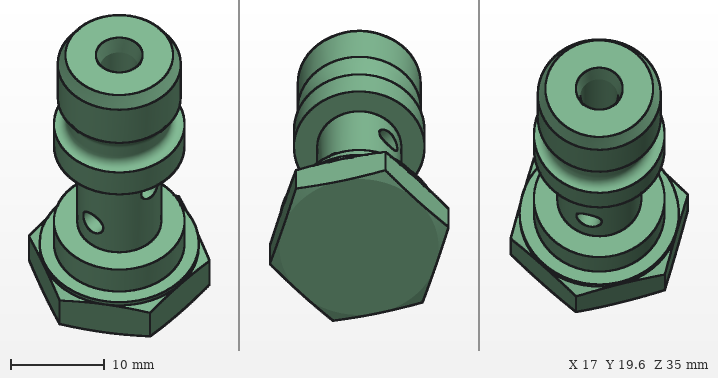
import cadquery as cq
import math

total_height = 35.0
head_height = 5.0
lower_collar_top = 8.5
upper_collar_bottom = 20.5
upper_collar_top = 24.0
thread_bottom = 28.28

across_flats = 17.0
collar_diameter = 13.95
shank_diameter = 9.0
thread_diameter = 13.15
relief_diameter = 11.2

washer_height = 0.52
head_chamfer_angle = math.radians(15)

thread_chamfer_height = 1.45
thread_chamfer_angle = math.radians(30)
relief_fillet_radius = 1.0

bore_diameter = 4.0
bore_bottom = 10.5
drill_point_angle = math.radians(118)
countersink_diameter = 5.0
countersink_depth = 1.85
cross_hole_diameter = 2.8
lower_cross_hole_z = 12.0
upper_cross_hole_z = 17.0


def make_head():
    """Hexagon with points on Y, chamfered at both ends, below a round washer face."""
    corner_diameter = across_flats / math.cos(math.radians(30))
    flat_radius = across_flats / 2
    corner_radius = corner_diameter / 2
    chamfer_height = (corner_radius - flat_radius) * math.tan(head_chamfer_angle)
    hexagon_top = head_height - washer_height

    hexagon = (
        cq.Workplane("XY")
        .polygon(6, corner_diameter)
        .extrude(head_height)
        .rotate((0, 0, 0), (0, 0, 1), 30)
    )
    envelope = (
        cq.Workplane("XZ")
        .lineTo(flat_radius, 0)
        .lineTo(corner_radius, chamfer_height)
        .lineTo(corner_radius, hexagon_top - chamfer_height)
        .lineTo(flat_radius, hexagon_top)
        .lineTo(flat_radius, head_height)
        .lineTo(0, head_height)
        .close()
        .revolve(360, (0, 0, 0), (0, 1, 0))
    )
    return hexagon.intersect(envelope)


def make_body():
    """Collars, shank, relief groove and thread blank turned as one profile."""
    collar_radius = collar_diameter / 2
    shank_radius = shank_diameter / 2
    thread_radius = thread_diameter / 2
    relief_radius = relief_diameter / 2
    tip_radius = thread_radius - thread_chamfer_height * math.tan(thread_chamfer_angle)

    fillet_center = relief_radius + relief_fillet_radius
    relief_bottom = upper_collar_top + relief_fillet_radius
    lower_middle = (
        fillet_center - relief_fillet_radius * math.cos(math.radians(45)),
        relief_bottom - relief_fillet_radius * math.sin(math.radians(45)),
    )

    upper_end = fillet_center - relief_fillet_radius * math.cos(thread_chamfer_angle)
    cone_bottom = thread_bottom - (thread_radius - upper_end) / math.tan(thread_chamfer_angle)
    relief_top = cone_bottom - relief_fillet_radius * math.sin(thread_chamfer_angle)
    upper_middle = (
        fillet_center - relief_fillet_radius * math.cos(thread_chamfer_angle / 2),
        relief_top + relief_fillet_radius * math.sin(thread_chamfer_angle / 2),
    )

    return (
        cq.Workplane("XZ")
        .lineTo(collar_radius, 0)
        .lineTo(collar_radius, lower_collar_top)
        .lineTo(shank_radius, lower_collar_top)
        .lineTo(shank_radius, upper_collar_bottom)
        .lineTo(collar_radius, upper_collar_bottom)
        .lineTo(collar_radius, upper_collar_top)
        .lineTo(fillet_center, upper_collar_top)
        .threePointArc(lower_middle, (relief_radius, relief_bottom))
        .lineTo(relief_radius, relief_top)
        .threePointArc(upper_middle, (upper_end, cone_bottom))
        .lineTo(thread_radius, thread_bottom)
        .lineTo(thread_radius, total_height - thread_chamfer_height)
        .lineTo(tip_radius, total_height)
        .lineTo(0, total_height)
        .close()
        .revolve(360, (0, 0, 0), (0, 1, 0))
    )


def make_bore():
    """Countersunk blind bore with a conical drill point."""
    bore_radius = bore_diameter / 2
    countersink_radius = countersink_diameter / 2
    point_depth = bore_radius / math.tan(drill_point_angle / 2)
    return (
        cq.Workplane("XZ")
        .moveTo(0, bore_bottom - point_depth)
        .lineTo(bore_radius, bore_bottom)
        .lineTo(bore_radius, total_height - countersink_depth)
        .lineTo(countersink_radius, total_height)
        .lineTo(0, total_height)
        .close()
        .revolve(360, (0, 0, 0), (0, 1, 0))
    )


def make_cross_hole(plane, height):
    """Hole through the whole shank, square to the given plane."""
    return (
        cq.Workplane(plane)
        .center(0, height)
        .circle(cross_hole_diameter / 2)
        .extrude(shank_diameter, both=True)
    )


result = (
    make_head()
    .union(make_body())
    .cut(make_bore())
    .cut(make_cross_hole("XZ", lower_cross_hole_z))
    .cut(make_cross_hole("YZ", upper_cross_hole_z))
)